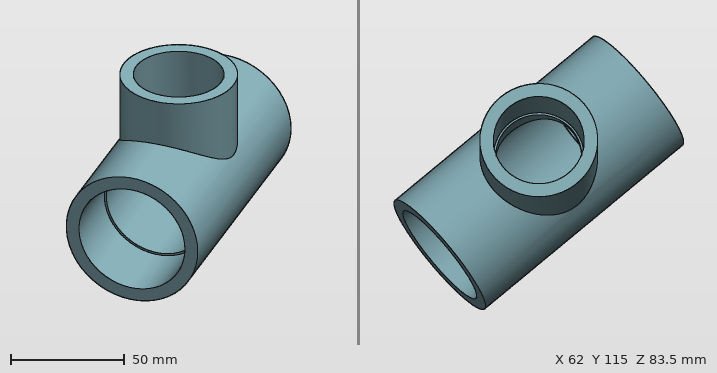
import cadquery as cq

run_length = 115.0
run_outer_diameter = 62.0
run_socket_diameter = 49.9
run_bore_diameter = 48.0
run_socket_depth = 31.0

branch_height = 52.5
branch_outer_diameter = 51.9
branch_socket_diameter = 39.9
branch_bore_diameter = 38.0
branch_socket_depth = 26.0


def run_cylinder(diameter, start, length):
    """Cylinder along the run axis, from Y = start towards +Y."""
    base = cq.Workplane("XZ", origin=(0, start, 0))
    return base.circle(diameter / 2).extrude(-length)


def branch_cylinder(diameter, start, length):
    """Cylinder along the branch axis, from Z = start upwards."""
    base = cq.Workplane("XY", origin=(0, 0, start))
    return base.circle(diameter / 2).extrude(length)


run_start = -run_length / 2
body = run_cylinder(run_outer_diameter, run_start, run_length)
body = body.union(branch_cylinder(branch_outer_diameter, 0, branch_height))

body = body.cut(run_cylinder(run_bore_diameter, run_start, run_length))
body = body.cut(branch_cylinder(branch_bore_diameter, 0, branch_height))

for socket_start in (run_start, run_length / 2 - run_socket_depth):
    body = body.cut(run_cylinder(run_socket_diameter, socket_start, run_socket_depth))

branch_shoulder = branch_height - branch_socket_depth
body = body.cut(branch_cylinder(branch_socket_diameter, branch_shoulder, branch_socket_depth))

result = body